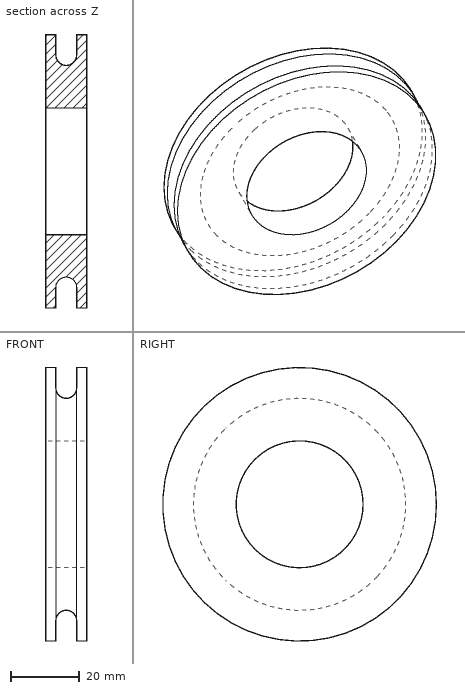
import cadquery as cq

outer_diameter = 80.0
bore_diameter = 37.0
wheel_width = 12.0

groove_width = 6.0
groove_depth = 9.0

outer_radius = outer_diameter / 2
bore_radius = bore_diameter / 2
half_width = wheel_width / 2
groove_radius = groove_width / 2
groove_bottom_radius = outer_radius - groove_depth
groove_arc_center_radius = groove_bottom_radius + groove_radius


def wheel_section():
    """Half section in the XY plane, with Y as the distance from the axis."""
    return (
        cq.Workplane("XY")
        .moveTo(-half_width, bore_radius)
        .lineTo(half_width, bore_radius)
        .lineTo(half_width, outer_radius)
        .lineTo(groove_radius, outer_radius)
        .lineTo(groove_radius, groove_arc_center_radius)
        .threePointArc((0, groove_bottom_radius), (-groove_radius, groove_arc_center_radius))
        .lineTo(-groove_radius, outer_radius)
        .lineTo(-half_width, outer_radius)
        .close()
    )


result = wheel_section().revolve(360, (0, 0, 0), (1, 0, 0))